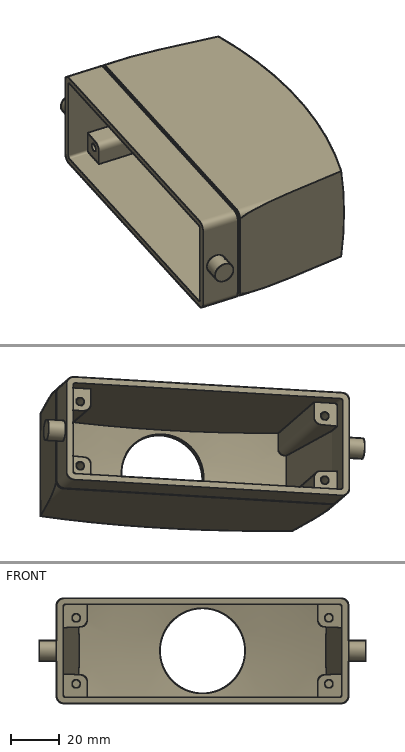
import cadquery as cq
import math

WIDTH = 120.4
HEIGHT = 43.5
CORNER_RADIUS = 3.2
SIDE_WALL = 2.8
FLAT_WALL = 2.5
CAVITY_RADIUS = 1.1

FRAME_DEPTH = 16.1
GROOVE_WIDTH = 1.2
GROOVE_DEPTH = 0.8
HOOD_START = FRAME_DEPTH + GROOVE_WIDTH

SHOULDER_Y = 69.5
SHOULDER_WIDTH = 106.8
DOME_RADIUS = 178.9
DOME_WALL = 2.7
CABLE_HOLE_DIAMETER = 35.0

DOME_CENTER_Y = SHOULDER_Y - math.sqrt(DOME_RADIUS**2 - (SHOULDER_WIDTH / 2)**2)
DOME_TOP_Y = DOME_CENTER_Y + DOME_RADIUS

BOSS_START = 9.0
BOSS_INNER_X = 47.5
BOSS_INNER_Z = 10.0
BOSS_WALL_Z = 9.5
BOSS_CORNER_RADIUS = 3.0
SCREW_X = 52.0
SCREW_Z = 13.6
SCREW_DIAMETER = 3.4
SCREW_DEPTH = 13.5

PIN_DIAMETER = 8.6
PIN_Y = 6.0
PIN_SPAN = 134.5
PIN_LENGTH = (PIN_SPAN - WIDTH) / 2


def rounded_block(width, height, radius, start, end):
    """Block centred on X and Z, with its four edges along Y rounded."""
    return (
        cq.Workplane("XY")
        .box(width, end - start, height, centered=(True, False, True))
        .translate((0, start, 0))
        .edges("|Y")
        .fillet(radius)
    )


def cavity_block(start, end):
    return rounded_block(WIDTH - 2 * SIDE_WALL, HEIGHT - 2 * FLAT_WALL, CAVITY_RADIUS, start, end)


def make_ring(inset, start, end):
    """Rectangular ring whose outer faces lie below the shell by the inset."""
    outer = rounded_block(WIDTH - 2 * inset, HEIGHT - 2 * inset, CORNER_RADIUS, start, end)
    return outer.cut(cavity_block(start, end))


def hood_envelope(side_inset, dome_radius):
    """Leaning sides closed by the dome; the insets turn it into the inner envelope."""
    half_base = WIDTH / 2 - side_inset
    lean = (WIDTH - SHOULDER_WIDTH) / 2 / (SHOULDER_Y - HOOD_START)
    half_top = half_base - lean * (DOME_TOP_Y - HOOD_START)
    tapered = (
        cq.Workplane("XY")
        .polyline([
            (-half_base, HOOD_START),
            (half_base, HOOD_START),
            (half_top, DOME_TOP_Y),
            (-half_top, DOME_TOP_Y),
        ])
        .close()
        .extrude(HEIGHT / 2, both=True)
    )
    dome = cq.Workplane("XY").sphere(dome_radius).translate((0, DOME_CENTER_Y, 0))
    return tapered.intersect(dome)


def make_boss(x_side, z_side, envelope):
    """Corner boss standing along the side wall, trimmed to fit inside the shell."""
    boss = (
        cq.Workplane("XZ")
        .polyline([
            (BOSS_INNER_X, HEIGHT / 2),
            (BOSS_INNER_X, BOSS_INNER_Z),
            (WIDTH / 2 - SIDE_WALL, BOSS_WALL_Z),
            (WIDTH / 2, BOSS_WALL_Z),
            (WIDTH / 2, HEIGHT / 2),
        ])
        .close()
        .extrude(-(DOME_TOP_Y - BOSS_START))
        .translate((0, BOSS_START, 0))
        .edges(cq.NearestToPointSelector((BOSS_INNER_X, (BOSS_START + DOME_TOP_Y) / 2, BOSS_INNER_Z)))
        .fillet(BOSS_CORNER_RADIUS)
    )
    if x_side < 0:
        boss = boss.mirror("YZ")
    if z_side < 0:
        boss = boss.mirror("XY")
    front_part = boss.intersect(cavity_block(BOSS_START, HOOD_START))
    return front_part.union(boss.intersect(envelope))


def make_housing():
    """Frame and hood in one piece, with the groove, the bosses and the holes."""
    block = rounded_block(WIDTH, HEIGHT, CORNER_RADIUS, HOOD_START, DOME_TOP_Y)
    envelope = block.intersect(hood_envelope(0, DOME_RADIUS))
    cavity = cavity_block(HOOD_START, DOME_TOP_Y).intersect(
        hood_envelope(SIDE_WALL, DOME_RADIUS - DOME_WALL)
    )
    frame = make_ring(0, 0, FRAME_DEPTH)
    groove_floor = make_ring(GROOVE_DEPTH, FRAME_DEPTH, HOOD_START)
    housing = frame.union(groove_floor).union(envelope.cut(cavity)).clean()
    for x_side in (-1, 1):
        for z_side in (-1, 1):
            housing = housing.union(make_boss(x_side, z_side, envelope))
            screw_hole = cq.Solid.makeCylinder(
                SCREW_DIAMETER / 2,
                SCREW_DEPTH,
                cq.Vector(x_side * SCREW_X, BOSS_START, z_side * SCREW_Z),
                cq.Vector(0, 1, 0),
            )
            housing = housing.cut(cq.Workplane(screw_hole))
    cable_hole = cq.Solid.makeCylinder(
        CABLE_HOLE_DIAMETER / 2,
        DOME_TOP_Y,
        cq.Vector(0, 0, 0),
        cq.Vector(0, 1, 0),
    )
    return housing.cut(cq.Workplane(cable_hole))


def make_pin(side):
    """Pin standing on the outer side face of the frame."""
    return cq.Solid.makeCylinder(
        PIN_DIAMETER / 2,
        PIN_LENGTH,
        cq.Vector(side * WIDTH / 2, PIN_Y, 0),
        cq.Vector(side, 0, 0),
    )


housing = make_housing()
pins = [make_pin(side) for side in (-1, 1)]

result = cq.Compound.makeCompound([*housing.solids().vals(), *pins])